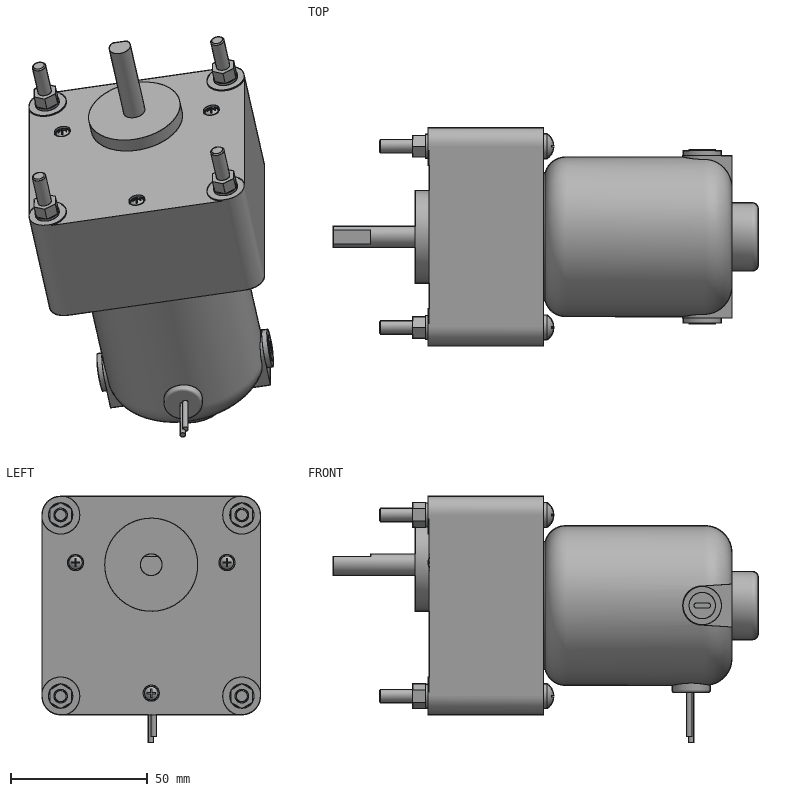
import cadquery as cq
import math


BOX_SIDE = 80.0
BOX_LENGTH = 42.3
CORNER_RADIUS = 6.8
PAD_RADIUS = CORNER_RADIUS + 0.2
PAD_HEIGHT = 0.5
BOLT_OFFSET = BOX_SIDE / 2 - CORNER_RADIUS

SHAFT_DIAMETER = 8.0
SHAFT_REACH = 34.7
SHAFT_Z = 15.0
FLAT_LENGTH = 13.7
FLAT_DEPTH = 1.0
BOSS_DIAMETER = 34.0
BOSS_REACH = 4.7

BOLT_DIAMETER = 5.0
BOLT_REACH = 17.7
BOLT_TIP_CHAMFER = 0.5
NUT_ACROSS_FLATS = 8.0
NUT_HEIGHT = 4.7
WASHER_DIAMETER = 8.9
WASHER_THICKNESS = 1.0
BOLT_HEAD_DIAMETER = 9.2
BOLT_HEAD_RIM = 1.2
BOLT_HEAD_HEIGHT = 3.7

SCREW_POSITIONS = [(-27.7, 15.7), (27.7, 15.7), (0, -32.0)]
SCREW_HOLE_DIAMETER = 5.9
SCREW_HOLE_DEPTH = 1.0
SCREW_HEAD_DIAMETER = 5.0
SCREW_HEAD_RIM = 0.3
SCREW_HEAD_HEIGHT = SCREW_HOLE_DEPTH + PAD_HEIGHT

CROSS_WIDTH = 0.5
CROSS_SPAN = 0.6
CROSS_DEPTH = 0.8

SPIGOT_DIAMETER = 47.0
SPIGOT_LENGTH = 0.3
CAN_DIAMETER = 58.5
CAN_LENGTH = 68.5
CAN_FRONT_RADIUS = 7.8
CAN_REAR_RADIUS = 10.0
CAN_FRONT_X = BOX_LENGTH + SPIGOT_LENGTH
CAN_REAR_X = CAN_FRONT_X + CAN_LENGTH
REAR_BOSS_DIAMETER = 25.0
REAR_BOSS_LENGTH = 9.6
REAR_BOSS_RADIUS = 2.3

BRUSH_X = 100.3
BRUSH_INNER_REACH = 12.5
BRUSH_BLOCK_RADIUS = 7.2
BRUSH_BLOCK_REAR_WIDTH = 15.7
BRUSH_BLOCK_REACH = 29.7
BRUSH_CAP_DIAMETER = 14.0
BRUSH_CAP_REACH = 31.5
BRUSH_FACE_DIAMETER = 9.6
BRUSH_FACE_REACH = 31.9
BRUSH_SLOT_LENGTH = 6.0
BRUSH_SLOT_WIDTH = 1.9
BRUSH_SLOT_DEPTH = 0.8

GLAND_X = 96.3
GLAND_DIAMETER = 14.0
GLAND_REACH = 31.9
GLAND_EDGE_RADIUS = 1.0
LEAD_DIAMETER = 2.0
LEADS = [(0, 0.2, 50.0), (-0.8, -1.0, 47.9)]


def rod(diameter, x_start, x_end, y=0, z=0):
    """Cylinder along X."""
    return (
        cq.Workplane("YZ", origin=(x_start, y, z))
        .circle(diameter / 2)
        .extrude(x_end - x_start)
    )


def domed_head(diameter, rim, height):
    """Cross-recessed head standing on X = 0: a round rim under a spherical dome."""
    rise = height - rim
    dome_radius = ((diameter / 2) ** 2 + rise**2) / (2 * rise)
    dome = cq.Workplane("YZ", origin=(height - dome_radius, 0, 0)).sphere(dome_radius)
    head = rod(diameter, 0, height).intersect(dome)
    cross_length = CROSS_SPAN * diameter
    recess_floor = cq.Workplane("YZ", origin=(height - CROSS_DEPTH, 0, 0))
    for y_size, z_size in [(CROSS_WIDTH, cross_length), (cross_length, CROSS_WIDTH)]:
        head = head.cut(recess_floor.rect(y_size, z_size).extrude(CROSS_DEPTH))
    return head


def make_gearbox():
    """Rounded block whose front face is sunk between the corner pads."""
    block = (
        cq.Workplane("YZ")
        .rect(BOX_SIDE, BOX_SIDE)
        .extrude(BOX_LENGTH)
        .edges("|X")
        .fillet(CORNER_RADIUS)
    )
    pads = (
        cq.Workplane("YZ")
        .rect(2 * BOLT_OFFSET, 2 * BOLT_OFFSET, forConstruction=True)
        .vertices()
        .circle(PAD_RADIUS)
        .extrude(PAD_HEIGHT)
    )
    sunken_area = cq.Workplane("YZ").rect(BOX_SIDE, BOX_SIDE).extrude(PAD_HEIGHT).cut(pads)
    return block.cut(sunken_area)


def make_output_shaft():
    """Shaft with a flat on top of its free end, and the round boss it comes out of."""
    flat = (
        cq.Workplane("XY", origin=(-SHAFT_REACH, 0, SHAFT_Z + SHAFT_DIAMETER / 2 - FLAT_DEPTH))
        .rect(2 * FLAT_LENGTH, SHAFT_DIAMETER)
        .extrude(FLAT_DEPTH)
    )
    shaft = rod(SHAFT_DIAMETER, -SHAFT_REACH, 0, z=SHAFT_Z).cut(flat)
    return shaft.union(rod(BOSS_DIAMETER, -BOSS_REACH, PAD_HEIGHT, z=SHAFT_Z))


def make_bolt():
    """Through bolt on the X axis: tip, nut, washer and the domed head behind the gearbox."""
    nut_corner_diameter = NUT_ACROSS_FLATS / math.cos(math.pi / 6)
    nut = (
        cq.Workplane("YZ", origin=(-WASHER_THICKNESS, 0, 0))
        .transformed(rotate=(0, 0, 90))
        .polygon(6, nut_corner_diameter)
        .extrude(-NUT_HEIGHT)
    )
    head = domed_head(BOLT_HEAD_DIAMETER, BOLT_HEAD_RIM, BOLT_HEAD_HEIGHT)
    return (
        rod(BOLT_DIAMETER, -BOLT_REACH, BOX_LENGTH)
        .faces("<X")
        .chamfer(BOLT_TIP_CHAMFER)
        .union(nut)
        .union(rod(WASHER_DIAMETER, -WASHER_THICKNESS, 0))
        .union(head.translate((BOX_LENGTH, 0, 0)))
    )


def make_motor():
    """Can with rounded ends, the spigot in front of it and the boss on its rear face."""
    can = (
        rod(CAN_DIAMETER, CAN_FRONT_X, CAN_REAR_X)
        .faces("<X")
        .edges()
        .fillet(CAN_FRONT_RADIUS)
        .faces(">X")
        .edges()
        .fillet(CAN_REAR_RADIUS)
    )
    rear_boss = (
        rod(REAR_BOSS_DIAMETER, CAN_REAR_X, CAN_REAR_X + REAR_BOSS_LENGTH)
        .faces(">X")
        .edges()
        .fillet(REAR_BOSS_RADIUS)
    )
    spigot = rod(SPIGOT_DIAMETER, BOX_LENGTH, CAN_FRONT_X + SPIGOT_LENGTH)
    return can.union(rear_boss).union(spigot)


def make_brush_holder():
    """Holder on the -Y side: a block round at the front, its cap and the slotted cap face."""
    side_plane = cq.Workplane("XZ", origin=(BRUSH_X, -BRUSH_INNER_REACH, 0))
    half_width = BRUSH_BLOCK_REAR_WIDTH / 2
    block_reach = BRUSH_BLOCK_REACH - BRUSH_INNER_REACH
    rear = CAN_REAR_X - BRUSH_X
    tapered_block = (
        side_plane.moveTo(0, BRUSH_BLOCK_RADIUS)
        .lineTo(rear, half_width)
        .lineTo(rear, -half_width)
        .lineTo(0, -BRUSH_BLOCK_RADIUS)
        .threePointArc((-BRUSH_BLOCK_RADIUS, 0), (0, BRUSH_BLOCK_RADIUS))
        .close()
        .extrude(block_reach)
    )
    cap = side_plane.circle(BRUSH_CAP_DIAMETER / 2).extrude(BRUSH_CAP_REACH - BRUSH_INNER_REACH)
    cap_face = side_plane.circle(BRUSH_FACE_DIAMETER / 2).extrude(BRUSH_FACE_REACH - BRUSH_INNER_REACH)
    slot = (
        cq.Workplane("XZ", origin=(BRUSH_X, -BRUSH_FACE_REACH, 0))
        .slot2D(BRUSH_SLOT_LENGTH, BRUSH_SLOT_WIDTH)
        .extrude(-BRUSH_SLOT_DEPTH)
    )
    return tapered_block.union(cap).union(cap_face).cut(slot)


def make_cable_exit():
    """Gland under the can and the two leads hanging from it."""
    exit_part = (
        cq.Workplane("XY", origin=(GLAND_X, 0, 0))
        .circle(GLAND_DIAMETER / 2)
        .extrude(-GLAND_REACH)
        .faces("<Z")
        .edges()
        .fillet(GLAND_EDGE_RADIUS)
    )
    for x_offset, y, reach in LEADS:
        lead = (
            cq.Workplane("XY", origin=(GLAND_X + x_offset, y, 0))
            .circle(LEAD_DIAMETER / 2)
            .extrude(-reach)
        )
        exit_part = exit_part.union(lead)
    return exit_part


result = make_gearbox().union(make_output_shaft()).union(make_motor())

bolt = make_bolt()
for y_side in (-1, 1):
    for z_side in (-1, 1):
        result = result.union(bolt.translate((0, y_side * BOLT_OFFSET, z_side * BOLT_OFFSET)))

screw_head = domed_head(SCREW_HEAD_DIAMETER, SCREW_HEAD_RIM, SCREW_HEAD_HEIGHT)
screw_head = screw_head.rotate((0, 0, 0), (0, 0, 1), 180)
screw_seat_x = PAD_HEIGHT + SCREW_HOLE_DEPTH
for y, z in SCREW_POSITIONS:
    result = result.cut(rod(SCREW_HOLE_DIAMETER, PAD_HEIGHT, screw_seat_x, y, z))
    result = result.union(screw_head.translate((screw_seat_x, y, z)))

brush_holder = make_brush_holder()
result = result.union(brush_holder).union(brush_holder.mirror("XZ"))
result = result.union(make_cable_exit())